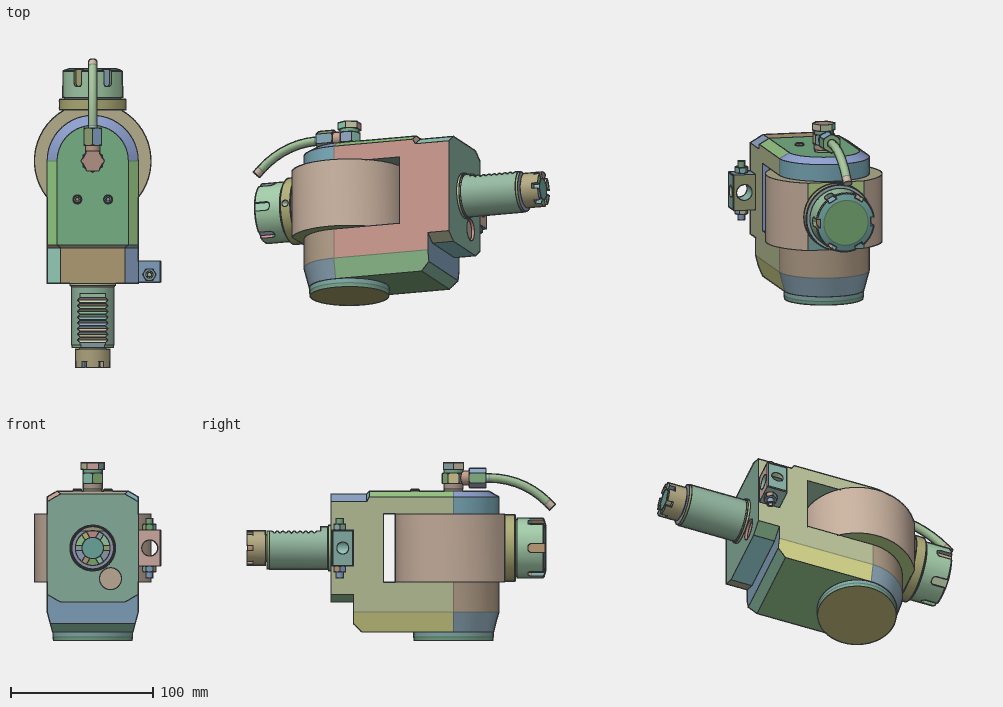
import cadquery as cq
import math


body_half_width = 32.0
head_y = 86.0
body_top_z = 40.0
body_bottom_z = -59.0
bevel_slope = math.tan(math.radians(30))
top_bevel_width = 7.0
block_half_height = 38.0
block_bevel_width = 9.5
block_top_length = 25.0
block_bottom_length = 15.7
block_step_bevel = 2.0
lower_taper_height = 14.0
lower_taper_angle = 15.0
lower_front_bevel = 6.0
pin_hole_x, pin_hole_z = 12.5, -21.5
pin_hole_radius = 7.7
pin_hole_depth = 2.0

disc_radius = 41.0
disc_half_height = 24.0
disc_flat_y = 121.7
slot_start_y = 37.0
cap_radius = 28.0
cap_bottom_z = -65.0
cap_taper_height = 2.7
cap_taper = 0.4

wrench_slot_count = 6

collar_radius = 23.5
collar_length = 7.7
collar_edge = 0.4
neck_radius = 20.0
neck_length = 1.3
nut_radius = 21.1
nut_length = 20.2
nut_face_radius = 16.0
nut_face_height = 1.3
nut_edge = 0.7
nut_slot_width = 6.2
nut_slot_length = 11.4
nut_slot_floor_radius = 18.2
nut_slot_corner = 2.6
collar_hole_radius = 2.4
collar_hole_depth = 2.4

flange_radius = 16.1
flange_length = 1.6
shoulder_radius = 15.4
shoulder_taper_length = 0.9
shank_radius = 15.0
shank_length = 45.0
shank_end_step = 1.7
shank_end_radius = 14.6
flat_z = 12.0
flat_start = 7.2
tooth_count = 8
tooth_pitch = 4.0
first_groove = 11.7
groove_half_width = 1.75
groove_depth = 1.5
shank_neck_radius = 9.4
shank_nut_start = 46.1
shank_nut_radius = 12.2
shank_nut_length = 12.9
shank_slot_width = 3.8
shank_slot_depth = 4.3
shank_face_radius = 7.5
shank_face_recess = 0.3

coolant_end_x = 48.0
coolant_half_height = 12.7
coolant_y_min, coolant_y_max = 0.8, 15.8
coolant_edge = 0.6
coolant_hole_x = 40.0
coolant_hole_radius = 5.6
side_port_y = 8.3
side_port_radius = 4.2
jet_x, jet_y = 39.8, 6.2
jet_nut_across_flats = 8.2
jet_nut_height = 4.0
jet_radius = 2.5
jet_height = 8.2
jet_nut_edge = 0.5
jet_bore_radius = 1.5
jet_bore_depth = 3.0

stem_radius = 6.8
stem_foot_radius = 6.5
stem_foot_z = 41.5
stem_top_z = 55.2
stem_hex_across_flats = 13.8
stem_hex_z = 45.2
stem_hex_height = 7.3
bolt_across_flats = 14.3
bolt_head_height = 4.7
branch_z = 49.2
branch_radius = 5.0
hose_nut_y = 97.0
hose_nut_length = 12.0
hose_nut_across_flats = 12.0
hex_edge = 0.6
hose_radius = 3.05
hose_straight = 2.0
hose_bend_radius = 58.0
hose_bend_angle = 45.0
hose_end_length = 5.0

screw_x = 10.8
screw_y = 59.0
screw_radius = 3.15
screw_height = 1.5
screw_edge = 0.8
screw_socket = 2.5
screw_socket_depth = 1.0


def box(x_min, x_max, y_min, y_max, z_min, z_max):
    """Box given by its limits along X, Y and Z."""
    solid = cq.Workplane("XY").box(x_max - x_min, y_max - y_min, z_max - z_min, centered=False)
    return solid.translate((x_min, y_min, z_min))


def upright_cylinder(radius, x, y, z_min, z_max):
    """Cylinder parallel to Z."""
    base = cq.Workplane("XY", origin=(x, y, z_min))
    return base.circle(radius).extrude(z_max - z_min)


def across_corners(across_flats):
    return across_flats / math.cos(math.pi / 6)


def chamfered_hex(workplane, across_flats, length, edge):
    """Hex prism whose corners are turned down at both ends."""
    corners = across_corners(across_flats)
    turned = workplane.circle(corners / 2).extrude(length).edges("%CIRCLE").chamfer(edge)
    return workplane.polygon(6, corners).extrude(length).intersect(turned)


def spun_about_shank_axis(profile):
    """Solid of revolution about the Y axis from (radius, y) points."""
    return cq.Workplane("XY").polyline(profile).close().revolve(360, (0, 0, 0), (0, 1, 0))


def spun_about_head_axis(profile):
    """Solid of revolution about the vertical head axis from (radius, z) points."""
    sketch = cq.Workplane("XZ", origin=(0, head_y, 0)).polyline(profile).close()
    return sketch.revolve(360, (0, 0, 0), (0, 1, 0))


def cut_around_shank_axis(solid, slot):
    """Cut evenly spaced copies of a wrench slot around the Y axis."""
    for index in range(wrench_slot_count):
        solid = solid.cut(slot.rotate((0, 0, 0), (0, 1, 0), index * 360 / wrench_slot_count))
    return solid


def profile_along_y(points, y_min, y_max):
    """Extrude an (x, z) outline from y_min to y_max."""
    return cq.Workplane("XZ", origin=(0, y_min, 0)).polyline(points).close().extrude(y_min - y_max)


def roof_outline(half_width, top_z, bevel_width, bottom_z):
    """Rectangle in (x, z) whose two top corners are bevelled."""
    flat = half_width - bevel_width
    shoulder_z = top_z - bevel_width * bevel_slope
    return [
        (-half_width, bottom_z),
        (half_width, bottom_z),
        (half_width, shoulder_z),
        (flat, top_z),
        (-flat, top_z),
        (-half_width, shoulder_z),
    ]


def make_mounting_block():
    flat = body_half_width - block_bevel_width
    shoulder_z = block_half_height - block_bevel_width * bevel_slope
    lower_half = [
        (-body_half_width, 0),
        (-body_half_width, -shoulder_z),
        (-flat, -block_half_height),
        (flat, -block_half_height),
        (body_half_width, -shoulder_z),
        (body_half_width, 0),
    ]
    upper_half = roof_outline(body_half_width, block_half_height, block_bevel_width, 0)
    upper = profile_along_y(upper_half, 0, block_top_length)
    return upper.union(profile_along_y(lower_half, 0, block_bottom_length))


def make_step_bevel():
    """Sloping transition from the mounting block up to the body cover."""
    low = roof_outline(body_half_width, block_half_height, block_bevel_width, 0)
    high = roof_outline(body_half_width, body_top_z, top_bevel_width, 0)
    start = cq.Workplane("XZ", origin=(0, block_top_length, 0)).polyline(low).close()
    return start.workplane(offset=-block_step_bevel).polyline(high).close().loft(ruled=True)


def make_upper_body():
    """Body above Z = 0, bevelled along both sides and around the round end."""
    outline = roof_outline(body_half_width, body_top_z, top_bevel_width, 0)
    straight = profile_along_y(outline, block_top_length + block_step_bevel, head_y)
    shoulder_z = body_top_z - top_bevel_width * bevel_slope
    round_end = spun_about_head_axis([
        (0, 0),
        (body_half_width, 0),
        (body_half_width, shoulder_z),
        (body_half_width - top_bevel_width, body_top_z),
        (0, body_top_z),
    ])
    return straight.union(round_end)


def make_lower_body():
    """Body below Z = 0, tapering inward towards its underside."""
    taper_z = body_bottom_z + lower_taper_height
    narrow = body_half_width - lower_taper_height * math.tan(math.radians(lower_taper_angle))
    right_side = [(body_half_width, 0), (body_half_width, taper_z), (narrow, body_bottom_z)]
    left_side = [(-x, z) for x, z in reversed(right_side)]
    straight = profile_along_y(right_side + left_side, block_bottom_length, head_y)
    front_bevel = (
        cq.Workplane("YZ", origin=(-body_half_width, 0, 0))
        .moveTo(block_bottom_length, body_bottom_z)
        .lineTo(block_bottom_length + lower_front_bevel, body_bottom_z)
        .lineTo(block_bottom_length, body_bottom_z + lower_front_bevel)
        .close()
        .extrude(2 * body_half_width)
    )
    round_end = spun_about_head_axis([(0, 0)] + right_side + [(0, body_bottom_z)])
    return straight.cut(front_bevel).union(round_end)


def make_body():
    body = make_mounting_block().union(make_step_bevel()).union(make_upper_body()).union(make_lower_body())
    fork_slot = box(
        -body_half_width, body_half_width,
        slot_start_y, head_y + body_half_width,
        -disc_half_height, disc_half_height,
    )
    pin_hole = (
        cq.Workplane("XZ", origin=(pin_hole_x, 0, pin_hole_z)).circle(pin_hole_radius).extrude(-pin_hole_depth)
    )
    return body.cut(fork_slot).cut(pin_hole)


def make_disc():
    disc = upright_cylinder(disc_radius, 0, head_y, -disc_half_height, disc_half_height)
    beyond_flat = box(
        -disc_radius, disc_radius,
        disc_flat_y, head_y + disc_radius,
        -disc_half_height, disc_half_height,
    )
    return disc.cut(beyond_flat)


def make_bottom_cap():
    return spun_about_head_axis([
        (0, body_bottom_z),
        (cap_radius, body_bottom_z),
        (cap_radius, cap_bottom_z + cap_taper_height),
        (cap_radius - cap_taper, cap_bottom_z),
        (0, cap_bottom_z),
    ])


def make_spindle():
    collar_end = disc_flat_y + collar_length
    nut_start = collar_end + neck_length
    nut_end = nut_start + nut_length
    nut_rim = nut_end - nut_face_height
    spindle = spun_about_shank_axis([
        (0, disc_flat_y),
        (collar_radius - collar_edge, disc_flat_y),
        (collar_radius, disc_flat_y + collar_edge),
        (collar_radius, collar_end - collar_edge),
        (collar_radius - collar_edge, collar_end),
        (neck_radius, collar_end),
        (neck_radius, nut_start),
        (nut_radius, nut_start),
        (nut_radius, nut_rim - nut_edge),
        (nut_radius - nut_edge, nut_rim),
        (nut_face_radius, nut_end),
        (0, nut_end),
    ])
    slot = box(
        nut_slot_floor_radius, collar_radius,
        nut_rim - nut_slot_length, nut_end + nut_slot_corner,
        -nut_slot_width / 2, nut_slot_width / 2,
    )
    slot = slot.edges("|X").fillet(nut_slot_corner)
    spindle = cut_around_shank_axis(spindle, slot)
    collar_middle = disc_flat_y + collar_length / 2
    side_hole = cq.Workplane(
        cq.Solid.makeCone(
            collar_hole_radius, 0, collar_hole_depth,
            cq.Vector(-collar_radius, collar_middle, 0), cq.Vector(1, 0, 0),
        )
    )
    return spindle.cut(side_hole)


def make_shank():
    shank_nut_end = shank_nut_start + shank_nut_length
    shank = spun_about_shank_axis([
        (0, 0),
        (flange_radius, 0),
        (flange_radius, -flange_length),
        (shoulder_radius, -flange_length),
        (shank_radius, -flange_length - shoulder_taper_length),
        (shank_radius, -shank_length + shank_end_step),
        (shank_end_radius, -shank_length + shank_end_step),
        (shank_end_radius, -shank_length),
        (shank_neck_radius, -shank_length),
        (shank_neck_radius, -shank_nut_start),
        (shank_nut_radius, -shank_nut_start),
        (shank_nut_radius, -shank_nut_end),
        (shank_face_radius, -shank_nut_end),
        (shank_face_radius, -shank_nut_end + shank_face_recess),
        (0, -shank_nut_end + shank_face_recess),
    ])
    flat_cut = box(-shank_radius, shank_radius, -shank_length, -flat_start, flat_z, shank_radius)
    shank = shank.cut(flat_cut)
    for index in range(tooth_count):
        groove_y = -first_groove - index * tooth_pitch
        groove = (
            cq.Workplane("YZ", origin=(-shank_radius, 0, 0))
            .moveTo(groove_y - groove_half_width, flat_z)
            .lineTo(groove_y, flat_z - groove_depth)
            .lineTo(groove_y + groove_half_width, flat_z)
            .close()
            .extrude(2 * shank_radius)
        )
        shank = shank.cut(groove)
    return cut_shank_nut_slots(shank, -shank_nut_end)


def cut_shank_nut_slots(shank, end_y):
    """Wrench slots in the end nut, stopping at its round end face."""
    slot = box(
        0, shank_nut_radius,
        end_y, end_y + shank_slot_depth,
        -shank_slot_width / 2, shank_slot_width / 2,
    )
    core = cq.Workplane("XZ", origin=(0, end_y, 0)).circle(shank_face_radius).extrude(-shank_slot_depth)
    slot = slot.cut(core)
    return cut_around_shank_axis(shank, slot)


def make_coolant_jet():
    """Hex nut and nozzle pointing up from the coolant block."""
    top_z = coolant_half_height + jet_height
    base = cq.Workplane("XY", origin=(jet_x, jet_y, coolant_half_height))
    nut = chamfered_hex(base, jet_nut_across_flats, jet_nut_height, jet_nut_edge)
    nozzle = upright_cylinder(jet_radius, jet_x, jet_y, coolant_half_height, top_z)
    bore = upright_cylinder(jet_bore_radius, jet_x, jet_y, top_z - jet_bore_depth, top_z)
    return nut.union(nozzle).cut(bore)


def make_coolant_block():
    block = box(
        body_half_width, coolant_end_x,
        coolant_y_min, coolant_y_max,
        -coolant_half_height, coolant_half_height,
    )
    block = block.faces(">X").edges().chamfer(coolant_edge)
    hole = (
        cq.Workplane("XZ", origin=(coolant_hole_x, coolant_y_min, 0))
        .circle(coolant_hole_radius)
        .extrude(coolant_y_min - coolant_y_max)
    )
    side_port = (
        cq.Workplane("YZ", origin=(coolant_hole_x, side_port_y, 0))
        .circle(side_port_radius)
        .extrude(coolant_end_x - coolant_hole_x)
    )
    jet = make_coolant_jet()
    return block.cut(hole).cut(side_port).union(jet).union(jet.mirror("XY"))


def make_fitting():
    """Banjo fitting on the cover: stem, hexes and a branch along +Y."""
    foot = upright_cylinder(stem_foot_radius, 0, head_y, body_top_z, stem_foot_z)
    stem = foot.union(upright_cylinder(stem_radius, 0, head_y, stem_foot_z, stem_top_z))
    stem_hex_base = cq.Workplane("XY", origin=(0, head_y, stem_hex_z)).transformed(rotate=(0, 0, 30))
    stem_hex = chamfered_hex(stem_hex_base, stem_hex_across_flats, stem_hex_height, hex_edge)
    bolt_head = (
        cq.Workplane("XY", origin=(0, head_y, stem_top_z))
        .polygon(6, across_corners(bolt_across_flats))
        .extrude(bolt_head_height)
    )
    branch = (
        cq.Workplane("XZ", origin=(0, head_y, branch_z)).circle(branch_radius).extrude(head_y - hose_nut_y)
    )
    hose_nut_base = cq.Workplane("XZ", origin=(0, hose_nut_y, branch_z)).transformed(rotate=(0, 0, 30))
    hose_nut = chamfered_hex(hose_nut_base, hose_nut_across_flats, -hose_nut_length, hex_edge)
    return stem.union(stem_hex).union(bolt_head).union(branch).union(hose_nut)


def make_hose():
    """Hose leaving the fitting along +Y and bending down."""
    angle = math.radians(hose_bend_angle)
    start_y = hose_nut_y + hose_nut_length
    bend_y = start_y + hose_straight

    def bend_point(turn):
        return (
            bend_y + hose_bend_radius * math.sin(turn),
            branch_z - hose_bend_radius * (1 - math.cos(turn)),
        )

    bend_end_y, bend_end_z = bend_point(angle)
    path = (
        cq.Workplane("YZ")
        .moveTo(start_y, branch_z)
        .lineTo(bend_y, branch_z)
        .threePointArc(bend_point(angle / 2), (bend_end_y, bend_end_z))
        .lineTo(
            bend_end_y + hose_end_length * math.cos(angle),
            bend_end_z - hose_end_length * math.sin(angle),
        )
    )
    return cq.Workplane("XZ", origin=(0, start_y, branch_z)).circle(hose_radius).sweep(path)


def make_cover_screw(x):
    head = upright_cylinder(screw_radius, x, screw_y, body_top_z, body_top_z + screw_height)
    head = head.faces(">Z").chamfer(screw_edge)
    socket = (
        cq.Workplane("XY", origin=(x, screw_y, body_top_z + screw_height))
        .polygon(6, across_corners(screw_socket))
        .extrude(-screw_socket_depth)
    )
    return head.cut(socket)


result = make_body()
for feature in (
    make_disc(),
    make_bottom_cap(),
    make_spindle(),
    make_shank(),
    make_coolant_block(),
    make_fitting(),
    make_hose(),
    make_cover_screw(-screw_x),
    make_cover_screw(screw_x),
):
    result = result.union(feature)